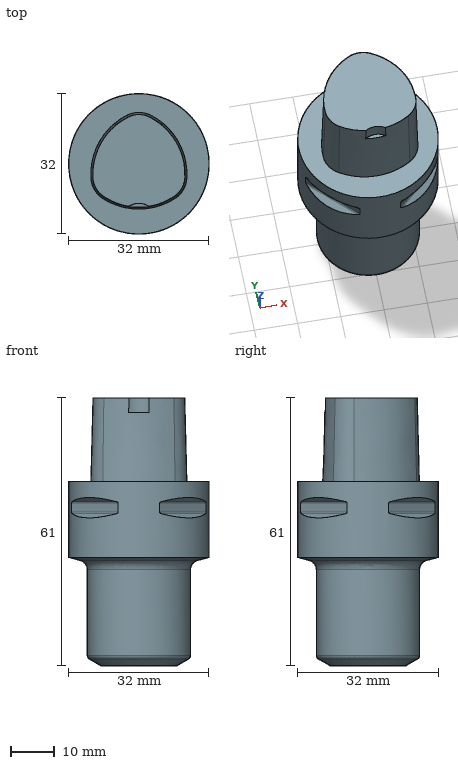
import cadquery as cq
import math

shank_height = 19.0
flange_diameter = 32.0
flange_height = 17.3
body_diameter = 23.5
body_bottom = -42.0

shank_mean_diameter = 22.0
shank_eccentricity = 0.7
lobe_half_angle = 27.0
lobe_count = 3
first_lobe_angle = 90.0
shank_side_taper = 1 / 40

notch_depth = 3.35
notch_radius = 4.0
notch_inner_distance = 8.97

flange_underside_angle = 15.0
neck_fillet = 2.1

end_chamfer_width = 3.2
end_chamfer_angle = 30.0
end_fillet = 1.0
end_rim_fillet = 0.5

slot_count = 4
first_slot_angle = 45.0
slot_center_z = -6.0
slot_floor_distance = 14.15
slot_floor_width = 2.5
slot_side_angle = 30.0
slot_floor_fillet = 0.4
slot_mouth_clearance = 1.0

flange_radius = flange_diameter / 2
body_radius = body_diameter / 2


def polar(radius, angle):
    """Point in the XY plane at a radius and an angle in degrees."""
    return radius * math.cos(math.radians(angle)), radius * math.sin(math.radians(angle))


def offset(point, distance, angle):
    """Point moved by a distance in the direction of an angle in degrees."""
    dx, dy = polar(distance, angle)
    return point[0] + dx, point[1] + dy


def make_shank():
    """Tapered polygon of six tangent arcs: a tight one on each lobe, a wide one on each flank."""
    lobe_reach = shank_mean_diameter / 2 + shank_eccentricity
    flank_reach = shank_mean_diameter / 2 - shank_eccentricity
    lobe_step = 360 / lobe_count
    flank_half_angle = lobe_step / 2 - lobe_half_angle

    lobe_sine = math.sin(math.radians(lobe_half_angle))
    flank_sine = math.sin(math.radians(flank_half_angle))
    joint_sine = math.sin(math.radians(lobe_step / 2))
    lobe_center_share = flank_sine / joint_sine
    flank_center_share = lobe_sine / joint_sine
    radius_difference = (lobe_reach - flank_reach) / (lobe_center_share + flank_center_share - 1)
    lobe_center_distance = radius_difference * lobe_center_share
    lobe_radius = lobe_reach - lobe_center_distance

    outline = cq.Workplane("XY")
    for index in range(lobe_count):
        lobe_angle = first_lobe_angle + index * lobe_step
        lobe_center = polar(lobe_center_distance, lobe_angle)
        lobe_start = offset(lobe_center, lobe_radius, lobe_angle - lobe_half_angle)
        lobe_end = offset(lobe_center, lobe_radius, lobe_angle + lobe_half_angle)
        next_center = polar(lobe_center_distance, lobe_angle + lobe_step)
        next_start = offset(next_center, lobe_radius, lobe_angle + lobe_step - lobe_half_angle)
        if index == 0:
            outline = outline.moveTo(*lobe_start)
        outline = outline.threePointArc(polar(lobe_reach, lobe_angle), lobe_end)
        outline = outline.threePointArc(polar(flank_reach, lobe_angle + lobe_step / 2), next_start)
    return outline.close().extrude(shank_height, taper=math.degrees(math.atan(shank_side_taper)))


def make_notch():
    """Upright round cutter for the coding notch."""
    return (
        cq.Workplane("XY")
        .workplane(offset=shank_height - notch_depth)
        .center(0, -notch_inner_distance - notch_radius)
        .circle(notch_radius)
        .extrude(notch_depth)
    )


def fillet_ring(solid, radius, height, fillet_radius):
    """Round the circular edge around Z that has a given radius and lies at a given height."""
    edge_finder = cq.selectors.NearestToPointSelector((-radius, 0, height))
    return solid.edges("%CIRCLE").edges(edge_finder).fillet(fillet_radius)


def make_flange_and_body():
    """Revolved flange with a conical underside, and the cylindrical body below it."""
    underside_drop = (flange_radius - body_radius) * math.tan(math.radians(flange_underside_angle))
    neck_z = -flange_height - underside_drop
    chamfer_top = body_bottom + end_chamfer_width * math.tan(math.radians(end_chamfer_angle))
    rim_radius = body_radius - end_chamfer_width
    profile = (
        cq.Workplane("XZ")
        .lineTo(flange_radius, 0)
        .lineTo(flange_radius, -flange_height)
        .lineTo(body_radius, neck_z)
        .lineTo(body_radius, chamfer_top)
        .lineTo(rim_radius, body_bottom)
        .lineTo(0, body_bottom)
        .close()
    )
    solid = profile.revolve(360, (0, 0, 0), (0, 1, 0))
    solid = fillet_ring(solid, body_radius, neck_z, neck_fillet)
    solid = fillet_ring(solid, body_radius, chamfer_top, end_fillet)
    return fillet_ring(solid, rim_radius, body_bottom, end_rim_fillet)


def make_slot():
    """Cutter along Y for a slot facing +X, with sloping sides and rounded floor corners."""
    mouth_distance = flange_radius + slot_mouth_clearance
    floor_half = slot_floor_width / 2
    side_rise = (mouth_distance - slot_floor_distance) * math.tan(math.radians(slot_side_angle))
    mouth_half = floor_half + side_rise
    return (
        cq.Workplane("XZ")
        .moveTo(slot_floor_distance, slot_center_z - floor_half)
        .lineTo(mouth_distance, slot_center_z - mouth_half)
        .lineTo(mouth_distance, slot_center_z + mouth_half)
        .lineTo(slot_floor_distance, slot_center_z + floor_half)
        .close()
        .extrude(flange_radius, both=True)
        .faces("<X")
        .edges("|Y")
        .fillet(slot_floor_fillet)
    )


result = make_flange_and_body().union(make_shank()).cut(make_notch())
for slot_index in range(slot_count):
    slot_angle = first_slot_angle + slot_index * 360 / slot_count
    result = result.cut(make_slot().rotate((0, 0, 0), (0, 0, 1), slot_angle))